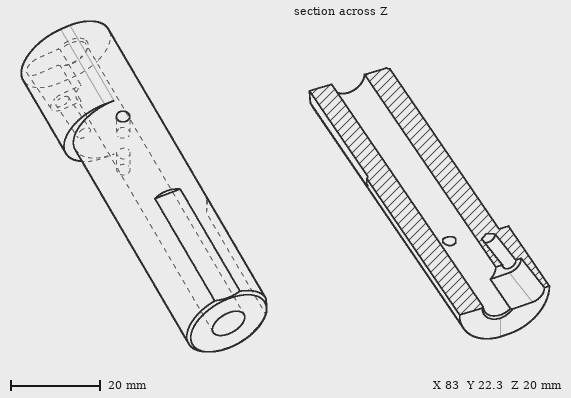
import cadquery as cq
import math

length = 83.0
body_radius = 10.0
head_length = 23.1
head_offset = 2.3
face_setback = 0.75
rear_chamfer = 0.7

bore_radius = 4.0
bore_chamfer = 0.5

slot_radius = 3.0
slot_center_y = -8.05
slot_depth = 11.2
pilot_radius = 1.7
pilot_depth = 10.0
drill_point_angle = 118.0

pin_hole_x = 27.9
pin_hole_radius = 1.5

flat_start = 50.6
flat_depth = 0.5
flat_ramp = 0.5

head_reach = body_radius + head_offset
face_slope = face_setback / head_reach
face_angle = math.degrees(math.atan(face_slope))


def make_body():
    """Round shank with an oblong head at the front."""
    shank = cq.Workplane("YZ").circle(body_radius).extrude(length)
    shank = shank.faces(">X").chamfer(rear_chamfer)
    head = cq.Workplane("YZ").center(-head_offset, 0).circle(body_radius).extrude(head_length)
    bridge = (
        cq.Workplane("YZ")
        .center(-head_offset / 2, 0)
        .rect(head_offset, 2 * body_radius)
        .extrude(head_length)
    )
    return shank.union(head.union(bridge))


def make_face_wedge():
    """Wedge removed from the -Y half of the front face."""
    return (
        cq.Workplane("XY")
        .polyline([(0, 0), (face_setback, -head_reach), (0, -head_reach)])
        .close()
        .extrude(body_radius, both=True)
    )


def make_bore():
    """Through bore with a countersunk front edge."""
    mouth_radius = bore_radius + bore_chamfer
    return (
        cq.Workplane("XY")
        .polyline([
            (0, 0),
            (0, mouth_radius),
            (bore_chamfer, bore_radius),
            (length, bore_radius),
            (length, 0),
        ])
        .close()
        .revolve(360, (0, 0, 0), (1, 0, 0))
    )


def make_slot_and_pilot():
    """Round-ended slot and drilled hole, both square to the sloped front face."""
    lead = slot_radius
    slot_length = slot_depth + lead
    run = -slot_center_y
    slot = cq.Workplane("YZ", origin=(-lead, 0, 0)).circle(slot_radius).extrude(slot_length)
    channel = (
        cq.Workplane("YZ", origin=(-lead, 0, 0))
        .center(run / 2, 0)
        .rect(run, 2 * slot_radius)
        .extrude(slot_length)
    )
    pilot_end = slot_depth + pilot_depth
    point_length = pilot_radius / math.tan(math.radians(drill_point_angle / 2))
    pilot = (
        cq.Workplane("XY")
        .polyline([
            (0, 0),
            (0, pilot_radius),
            (pilot_end, pilot_radius),
            (pilot_end + point_length, 0),
        ])
        .close()
        .revolve(360, (0, 0, 0), (1, 0, 0))
    )
    return (
        slot.union(channel)
        .union(pilot)
        .rotate((0, 0, 0), (0, 0, 1), face_angle)
        .translate((-slot_center_y * face_slope, slot_center_y, 0))
    )


def make_pin_hole():
    """Cross hole along Z, through both walls."""
    return (
        cq.Workplane("XY")
        .center(pin_hole_x, 0)
        .circle(pin_hole_radius)
        .extrude(body_radius, both=True)
    )


def make_top_flat():
    """Shallow flat on the +Z side, running out at the rear end."""
    return (
        cq.Workplane("XZ")
        .polyline([
            (flat_start, body_radius),
            (flat_start + flat_ramp, body_radius - flat_depth),
            (length, body_radius - flat_depth),
            (length, body_radius),
        ])
        .close()
        .extrude(body_radius, both=True)
    )


result = make_body().cut(make_face_wedge()).cut(make_bore())
result = result.cut(make_slot_and_pilot()).cut(make_pin_hole())

for flat_angle in (0, -90):
    result = result.cut(make_top_flat().rotate((0, 0, 0), (1, 0, 0), flat_angle))